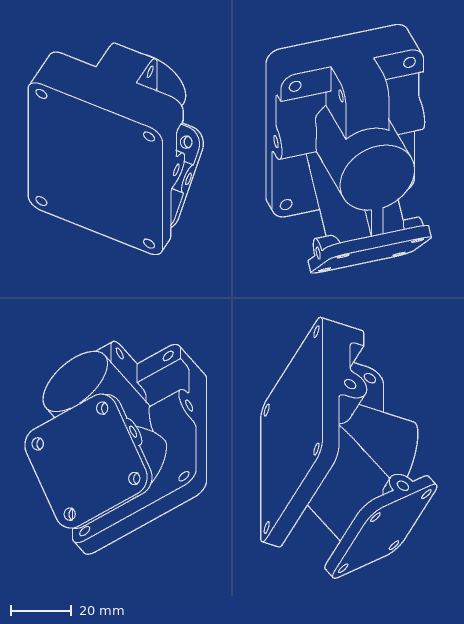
import cadquery as cq
import math


plate_width = 50.0
plate_height = 65.0
plate_corner_radius = 5.0
hole_diameter = 4.0
plate_hole_inset = 5.0
top_thickness = 15.0
middle_thickness = 10.0
bottom_thickness = 6.0
top_step_height = 10.0
blend_radius = 2.0

pivot_radius = 6.0
pivot_hole_depth = 5.0

tube_radius = 13.0
tube_z = -30.0
tube_end_y = 40.0

lug_width = 15.0
lug_depth = 30.0
lug_corner_radius = 6.0
lug_hole_inset = 5.0

tilt = 45
flange_size = 36.0
flange_thickness = 4.0
flange_corner_radius = 6.0
flange_hole_inset = 5.0
flange_back_y = 46.5
flange_bottom_z = -79.0
ear_radius = 5.0
ear_height = 4.0
ear_offset = 1.9

rib_width = 4.0

half_rise = flange_size / 2 * math.sin(math.radians(tilt))
flange_y = flange_back_y - half_rise
flange_z = flange_bottom_z + half_rise
flange_plane = cq.Plane(
    origin=(0, flange_y, flange_z),
    xDir=(1, 0, 0),
    normal=(0, -math.sin(math.radians(tilt)), math.cos(math.radians(tilt))),
)
middle_step_z = tube_z - pivot_radius


def x_cylinder(radius, y, z, length):
    """Cylinder along X, centred on X = 0."""
    return cq.Workplane("YZ").center(y, z).circle(radius).extrude(length / 2, both=True)


def x_prism(points, width):
    """Side outline of (Y, Z) points extruded symmetrically along X."""
    return cq.Workplane("YZ").polyline(points).close().extrude(width / 2, both=True)


def make_plate():
    stepped = x_prism(
        [
            (0, 0),
            (top_thickness, 0),
            (top_thickness, -top_step_height),
            (middle_thickness, -top_step_height),
            (middle_thickness, middle_step_z),
            (bottom_thickness, middle_step_z),
            (bottom_thickness, -plate_height),
            (0, -plate_height),
        ],
        plate_width,
    )
    stepped = stepped.union(x_cylinder(pivot_radius, middle_thickness, tube_z, plate_width))
    inner_corners = [
        (middle_thickness, -top_step_height),
        (middle_thickness, tube_z + pivot_radius),
        (bottom_thickness, middle_step_z),
    ]
    for y, z in inner_corners:
        corner = cq.selectors.NearestToPointSelector((0, y, z))
        stepped = stepped.edges("|X").edges(corner).fillet(blend_radius)
    outline = (
        cq.Workplane("XZ", origin=(0, 0, -plate_height / 2))
        .rect(plate_width, plate_height)
        .extrude(-(middle_thickness + pivot_radius))
        .edges("|Y")
        .fillet(plate_corner_radius)
    )
    return stepped.intersect(outline)


def cut_plate_holes(body):
    holes = (
        cq.Workplane("XZ", origin=(0, 0, -plate_height / 2))
        .rect(plate_width - 2 * plate_hole_inset, plate_height - 2 * plate_hole_inset, forConstruction=True)
        .vertices()
        .circle(hole_diameter / 2)
        .extrude(-top_thickness)
    )
    return body.cut(holes)


def cut_pivot_holes(body):
    full = x_cylinder(hole_diameter / 2, middle_thickness, tube_z, plate_width)
    core = x_cylinder(hole_diameter / 2, middle_thickness, tube_z, plate_width - 2 * pivot_hole_depth)
    return body.cut(full.cut(core))


def make_lug():
    lug = x_prism([(0, 0), (lug_depth, 0), (lug_depth, tube_z), (0, tube_z)], lug_width)
    lug = lug.edges("|X and >Y and >Z").fillet(lug_corner_radius)
    return lug.cut(x_cylinder(hole_diameter / 2, lug_depth - lug_hole_inset, -lug_hole_inset, lug_width))


def make_straight_tube():
    return cq.Workplane("XZ", origin=(0, 0, tube_z)).circle(tube_radius).extrude(-tube_end_y)


def make_inclined_tube():
    """Tube from the flange up into the plate, trimmed at the plate's front face."""
    length = flange_y / math.sin(math.radians(tilt)) + tube_radius
    tube = cq.Workplane(flange_plane).circle(tube_radius).extrude(length)
    in_front = cq.Workplane("XY").box(4 * tube_radius, length, 2 * length, centered=(True, False, True))
    return tube.cut(in_front.translate((0, -length, tube_z)))


def make_flange():
    flange = (
        cq.Workplane(flange_plane)
        .rect(flange_size, flange_size)
        .extrude(flange_thickness)
        .edges(cq.selectors.ParallelDirSelector(flange_plane.zDir))
        .fillet(flange_corner_radius)
    )
    hole_spacing = flange_size - 2 * flange_hole_inset
    holes = (
        cq.Workplane(flange_plane)
        .rect(hole_spacing, hole_spacing, forConstruction=True)
        .vertices()
        .circle(hole_diameter / 2)
        .extrude(flange_thickness)
    )
    return flange.cut(holes)


def ear_cylinder(radius):
    """Cylinder along X on the ear axis, cut flush with the flange's outer face."""
    centre = flange_plane.toWorldCoords((0, ear_offset, ear_height))
    above_face = cq.Workplane(flange_plane).rect(flange_size, flange_size).extrude(flange_size)
    return x_cylinder(radius, centre.y, centre.z, flange_size).intersect(above_face)


def make_rib():
    """Rib flush with the end of the straight tube, filling the gap down to the flange."""
    end_z = flange_z + (tube_end_y - flange_y) * math.tan(math.radians(tilt)) + flange_thickness
    return x_prism(
        [(tube_end_y, tube_z), (tube_end_y, end_z), (flange_y, flange_z), (middle_thickness, tube_z)],
        rib_width,
    )


body = make_plate().union(make_lug()).union(make_straight_tube()).union(make_inclined_tube())
body = body.union(make_flange()).union(ear_cylinder(ear_radius)).union(make_rib())
body = body.cut(ear_cylinder(hole_diameter / 2))
body = cut_pivot_holes(cut_plate_holes(body))
result = body